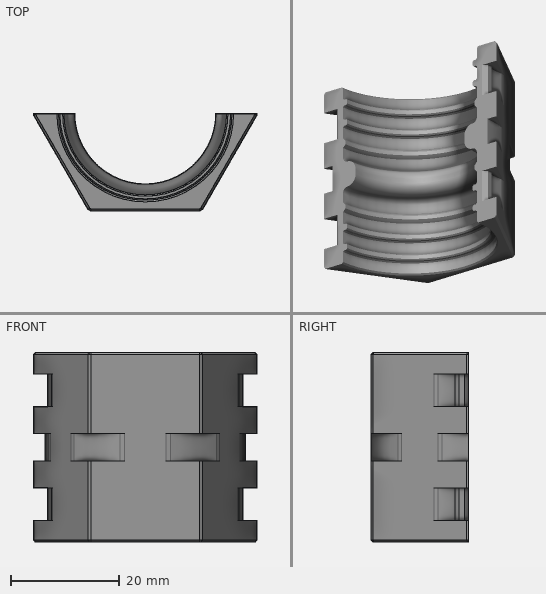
import cadquery as cq
import math

length = 35.0
apothem = 18.0
outer_chamfer = 0.4
half_length = length / 2
corner_radius = apothem / math.cos(math.pi / 6)
clear_radius = corner_radius + 1.0

bore_radius = 16.0
mouth_chamfer = 0.3
rib_pitch = 4.0
first_rib_z = 6.35
rib_radius = 15.0
rib_width = 1.2
rib_tip_chamfer = 0.25
rib_base_chamfer = 0.25
low_rib_radius = 15.4
low_rib_tip_width = 0.7

collar_radius = 13.0
collar_width = 5.0
collar_rounding = 2.0
collar_base_fillet = 1.0

groove_radius = 18.5
groove_width = 5.0

pocket_height = 6.0
pocket_z = 10.5
pocket_floor_x = 17.28
latch_depth = 0.75
latch_flat = 1.0

recess_chamfer = 0.4


def hexagonal_half():
    """Chamfered hexagonal bar, cut in half by the plane Y = 0."""
    bar = (
        cq.Workplane("XY")
        .workplane(offset=-half_length)
        .polygon(6, 2 * corner_radius)
        .extrude(length)
        .edges()
        .chamfer(outer_chamfer)
    )
    keep = (
        cq.Workplane("XY")
        .box(2 * corner_radius, corner_radius, length)
        .translate((0, -corner_radius / 2, 0))
    )
    return bar.intersect(keep)


def revolved(profile):
    """Turn a profile given as (radius, Z) fully around the Z axis."""
    return profile.close().revolve(360, (0, 0, 0), (0, 1, 0))


def bore_hole():
    """Plain bore, widened by a chamfer at both mouths."""
    mouth_radius = bore_radius + mouth_chamfer
    straight_end = half_length - mouth_chamfer
    profile = cq.Workplane("XZ").polyline([
        (0, -half_length),
        (mouth_radius, -half_length),
        (bore_radius, -straight_end),
        (bore_radius, straight_end),
        (mouth_radius, half_length),
        (0, half_length),
    ])
    return revolved(profile)


def ring_rib(half_profile, z):
    """Inward rib at height z, from the upper half (radius, offset) of its profile."""
    root = bore_radius + mouth_chamfer
    base_half = half_profile[0][1]
    upper = [(r, z + dz) for r, dz in half_profile]
    lower = [(r, z - dz) for r, dz in reversed(half_profile)]
    points = [(root, z + base_half)] + upper + lower + [(root, z - base_half)]
    return revolved(cq.Workplane("XZ").polyline(points))


def ribs():
    """Two tall ribs and one low rib on each side of the collar."""
    half_width = rib_width / 2
    tall = [
        (bore_radius, half_width + rib_base_chamfer),
        (bore_radius - rib_base_chamfer, half_width),
        (rib_radius + rib_tip_chamfer, half_width),
        (rib_radius, half_width - rib_tip_chamfer),
    ]
    low_tip = low_rib_tip_width / 2
    low = [
        (bore_radius, low_tip + bore_radius - low_rib_radius),
        (low_rib_radius, low_tip),
    ]
    rings = []
    for side in (-1, 1):
        for index, half_profile in enumerate((low, tall, tall)):
            z = side * (first_rib_z + index * rib_pitch)
            rings.append(ring_rib(half_profile, z))
    return rings


def collar():
    """Collar with rounded inner edges and filleted feet."""
    half_width = collar_width / 2
    land = half_width - collar_rounding
    shoulder_radius = collar_radius + collar_rounding
    foot = half_width + collar_base_fillet
    root = bore_radius + mouth_chamfer
    round_offset = collar_rounding * math.sqrt(0.5)
    foot_offset = collar_base_fillet * math.sqrt(0.5)
    round_mid = (shoulder_radius - round_offset, land + round_offset)
    foot_mid = (bore_radius - collar_base_fillet + foot_offset, foot - foot_offset)
    profile = (
        cq.Workplane("XZ")
        .moveTo(root, -foot)
        .lineTo(bore_radius, -foot)
        .threePointArc((foot_mid[0], -foot_mid[1]), (shoulder_radius, -half_width))
        .threePointArc((round_mid[0], -round_mid[1]), (collar_radius, -land))
        .lineTo(collar_radius, land)
        .threePointArc(round_mid, (shoulder_radius, half_width))
        .threePointArc(foot_mid, (bore_radius, foot))
        .lineTo(root, foot)
    )
    return revolved(profile)


def bore_with_rings():
    """Everything removed from the bore: the hole less the ribs and the collar."""
    hole = bore_hole().cut(collar())
    for ring in ribs():
        hole = hole.cut(ring)
    return hole


def corner_groove():
    """Ring that trims the hexagon corners down to the groove radius."""
    return (
        cq.Workplane("XY")
        .workplane(offset=-groove_width / 2)
        .circle(clear_radius)
        .circle(groove_radius)
        .extrude(groove_width)
    )


def latch_pocket(side, z):
    """Pocket at one outer edge, leaving a latch bead beside the split plane."""
    bead_x = pocket_floor_x + latch_depth
    clear_y = -apothem / 2
    outline = [
        (pocket_floor_x, 0),
        (bead_x, -latch_depth),
        (bead_x, -latch_depth - latch_flat),
        (pocket_floor_x, -2 * latch_depth - latch_flat),
        (pocket_floor_x, clear_y),
        (clear_radius, clear_y),
        (clear_radius, 0),
    ]
    return (
        cq.Workplane("XY")
        .workplane(offset=z - pocket_height / 2)
        .polyline([(side * x, y) for x, y in outline])
        .close()
        .extrude(pocket_height)
    )


def recess_edges(body):
    """Upright edges where groove and pocket floors run out into the hexagon faces."""
    groove_reach = math.sqrt(groove_radius**2 - apothem**2)
    floor_end_y = -(corner_radius - pocket_floor_x) * math.tan(math.pi / 3)
    spots = []
    for side in (-1, 1):
        spots.append((side * groove_reach, -apothem, 0))
        for reach in (-groove_reach, groove_reach):
            x = apothem * math.cos(math.pi / 6) + reach * math.sin(math.pi / 6)
            y = -apothem * math.sin(math.pi / 6) + reach * math.cos(math.pi / 6)
            spots.append((side * x, y, 0))
        for z in (-pocket_z, pocket_z):
            spots.append((side * pocket_floor_x, floor_end_y, z))
    tolerance = 0.01
    targets = [cq.Vector(*spot) for spot in spots]

    def is_recess_edge(edge):
        return any((edge.Center() - target).Length < tolerance for target in targets)

    return body.edges("|Z").filter(is_recess_edge)


body = hexagonal_half().cut(corner_groove())
for side in (-1, 1):
    for z in (-pocket_z, pocket_z):
        body = body.cut(latch_pocket(side, z))
body = recess_edges(body).chamfer(recess_chamfer)
result = body.cut(bore_with_rings())